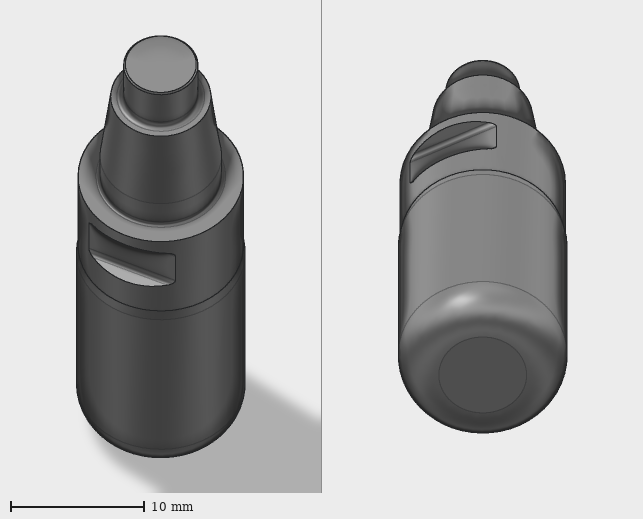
import cadquery as cq
import math

total_height = 42.3
joint_height = 19.95
shoulder_height = 28.5
taper_start_height = 31.05
taper_top_height = 38.32

sleeve_radius = 6.35
sleeve_end_rounding = 3.05
rim_length = 0.95

collar_radius = 6.2
neck_radius = 4.55
neck_fillet = 0.3
taper_top_radius = 3.75
tip_radius = 2.8
tip_fillet = 0.5
tip_chamfer = 0.13

flat_distance = 5.08
notch_floor_height = 3.7
notch_wall_angle = 20.0
notch_fillet = 0.5
notch_centre_height = 25.1


def make_sleeve():
    """Solid round sleeve with a rounded bottom and a conical rim at the joint."""
    rim_start_height = joint_height - rim_length
    body = (
        cq.Workplane("XY")
        .circle(sleeve_radius)
        .extrude(rim_start_height)
        .faces("<Z")
        .edges()
        .fillet(sleeve_end_rounding)
    )
    rim = cq.Workplane("XY").add(
        cq.Solid.makeCone(
            sleeve_radius, collar_radius, rim_length, pnt=cq.Vector(0, 0, rim_start_height)
        )
    )
    return body.union(rim, clean=False).val().Solids()[0]


def make_stem_blank():
    """Revolved collar, neck and tip, with concave fillets at both steps."""
    neck_fillet_centre = (neck_radius + neck_fillet, shoulder_height + neck_fillet)
    tip_fillet_centre = (tip_radius + tip_fillet, taper_top_height + tip_fillet)
    diagonal = 0.5 ** 0.5

    def fillet_middle(centre, radius):
        return (centre[0] - radius * diagonal, centre[1] - radius * diagonal)

    return (
        cq.Workplane("XZ")
        .moveTo(0, joint_height)
        .lineTo(collar_radius, joint_height)
        .lineTo(collar_radius, shoulder_height)
        .lineTo(neck_fillet_centre[0], shoulder_height)
        .threePointArc(
            fillet_middle(neck_fillet_centre, neck_fillet), (neck_radius, neck_fillet_centre[1])
        )
        .lineTo(neck_radius, taper_start_height)
        .lineTo(taper_top_radius, taper_top_height)
        .lineTo(tip_fillet_centre[0], taper_top_height)
        .threePointArc(
            fillet_middle(tip_fillet_centre, tip_fillet), (tip_radius, tip_fillet_centre[1])
        )
        .lineTo(tip_radius, total_height - tip_chamfer)
        .lineTo(tip_radius - tip_chamfer, total_height)
        .lineTo(0, total_height)
        .close()
        .revolve(360, (0, 0, 0), (0, 1, 0))
    )


def make_notch(side):
    """Cutter for one wrench flat on the +Y (side = 1) or -Y (side = -1) side."""
    notch_depth = sleeve_radius - flat_distance
    floor_half_height = notch_floor_height / 2
    mouth_half_height = floor_half_height + notch_depth * math.tan(math.radians(notch_wall_angle))
    floor_y = side * flat_distance
    mouth_y = side * sleeve_radius
    floor_edges = "|X and <Y" if side > 0 else "|X and >Y"
    return (
        cq.Workplane("YZ")
        .polyline([
            (floor_y, -floor_half_height),
            (mouth_y, -mouth_half_height),
            (mouth_y, mouth_half_height),
            (floor_y, floor_half_height),
        ])
        .close()
        .extrude(sleeve_radius, both=True)
        .edges(floor_edges)
        .fillet(notch_fillet)
        .translate((0, 0, notch_centre_height))
    )


def make_stem():
    """Stem with its two opposite wrench flats."""
    stem = make_stem_blank()
    for side in (-1, 1):
        stem = stem.cut(make_notch(side))
    return stem.val().Solids()[0]


sleeve = make_sleeve()
stem = make_stem()

result = cq.Compound.makeCompound([sleeve, stem])